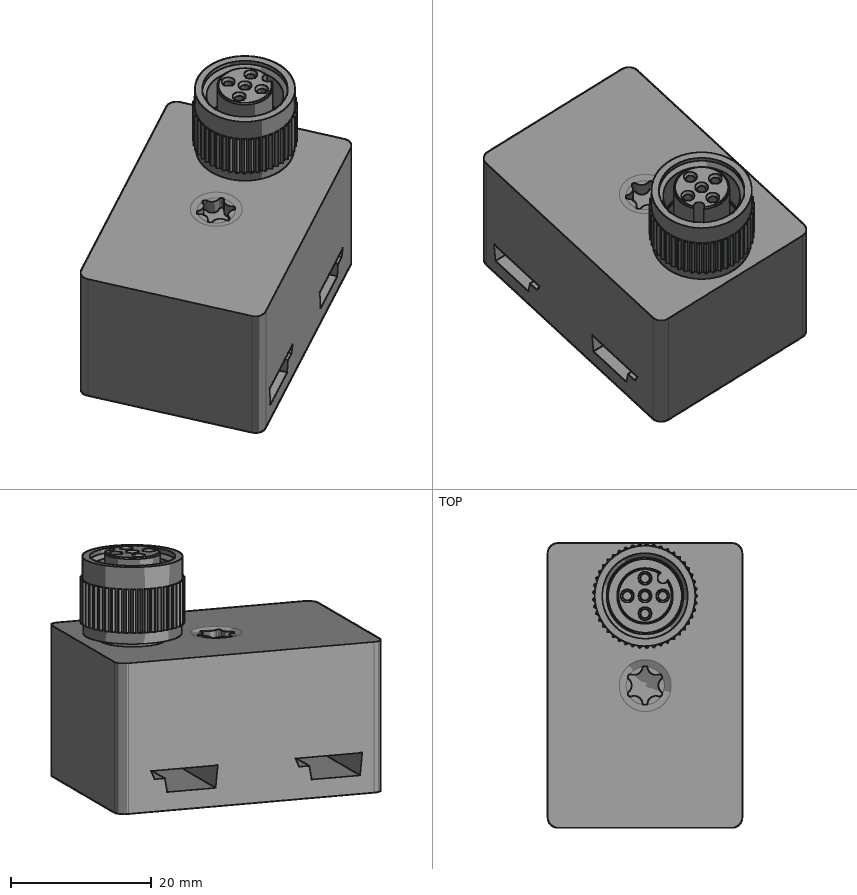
import cadquery as cq
import math

HOUSING_X = 27.7
HOUSING_Y = 40.5
HOUSING_Z = 22.0
CORNER_RADIUS = 1.55

SLOT_PITCH = 22.0
SLOT_BOTTOM_Z = 2.7
SLOT_LEDGE_Z = 4.75
SLOT_TOP_Z = 6.0
SLOT_TOP_Y = (5.05, 15.23)
SLOT_BOTTOM_Y = (5.4, 12.75)
SLOT_LEDGE_Y = (13.12, 14.65)

COUNTERSINK_RADIUS = 3.7
COUNTERSINK_FLOOR_RADIUS = 2.7
COUNTERSINK_DEPTH = 0.25
STAR_LOBES = 6
STAR_TIP_RADIUS = 2.75
STAR_FLUTE_RADIUS = 1.2
STAR_FLUTE_CENTER = 3.1
STAR_TIP_ROUNDING = 0.3
STAR_WALL_DEPTH = 2.05
STAR_APEX_DEPTH = 3.0

CONNECTOR_Y = 12.7
CONNECTOR_TOP_Z = 34.8
STEM_RADIUS = 4.7
NUT_BOTTOM_Z = 22.92
KNURL_BOTTOM_Z = 24.6
KNURL_TOP_Z = 30.95
NUT_TOP_Z = 34.15
NUT_LOWER_RADIUS = 7.0
NUT_UPPER_RADIUS = 7.13

KNURL_TEETH = 45
KNURL_TIP_RADIUS = 7.45
KNURL_ROOT_RADIUS = NUT_UPPER_RADIUS
KNURL_TOOTH_SHARE = 0.7

MOUTH_RADIUS = 6.08
MOUTH_DEPTH = 0.65
BORE_RADIUS = 5.45
CONE_DEPTH = MOUTH_RADIUS - BORE_RADIUS
BORE_STEP_RADIUS = 5.22
BORE_STEP_Z = 27.55
BORE_FLOOR_Z = KNURL_BOTTOM_Z

INSERT_RADIUS = 3.95
INSERT_CHAMFER = 0.2
CONTACT_CIRCLE_RADIUS = 2.5
CONTACT_MOUTH_RADIUS = 0.95
CONTACT_HOLE_RADIUS = 0.65
CONTACT_CONE_DEPTH = 0.5
KEYWAY_RADIUS = 0.75
KEYWAY_CENTER = 3.6
KEYWAY_ANGLE = 45.0


def polar(radius, degrees):
    """Point at a distance and angle from the local origin."""
    angle = math.radians(degrees)
    return (radius * math.cos(angle), radius * math.sin(angle))


def cylinder(radius, bottom_z, top_z):
    """Upright cylinder on the Z axis."""
    return cq.Workplane("XY", origin=(0, 0, bottom_z)).circle(radius).extrude(top_z - bottom_z)


def revolved(profile):
    """Solid turned about the Z axis from a list of (radius, z) points."""
    return cq.Workplane("XZ").polyline(profile).close().revolve(360, (0, 0, 0), (0, 1, 0))


def make_slot():
    """Stepped slot, cut through the whole width of the housing."""
    profile = [
        (SLOT_TOP_Y[0], SLOT_TOP_Z),
        (SLOT_BOTTOM_Y[0], SLOT_BOTTOM_Z),
        (SLOT_BOTTOM_Y[1], SLOT_BOTTOM_Z),
        (SLOT_LEDGE_Y[0], SLOT_LEDGE_Z),
        (SLOT_LEDGE_Y[1], SLOT_LEDGE_Z),
        (SLOT_TOP_Y[1], SLOT_TOP_Z),
    ]
    return cq.Workplane("YZ").polyline(profile).close().extrude(HOUSING_X / 2, both=True)


def make_screw_recess():
    """Countersink with a six-lobed star socket that ends in a shallow cone."""
    countersink = revolved([
        (0, HOUSING_Z),
        (COUNTERSINK_RADIUS, HOUSING_Z),
        (COUNTERSINK_FLOOR_RADIUS, HOUSING_Z - COUNTERSINK_DEPTH),
        (0, HOUSING_Z - COUNTERSINK_DEPTH),
    ])
    star = revolved([
        (0, HOUSING_Z),
        (STAR_TIP_RADIUS, HOUSING_Z),
        (STAR_TIP_RADIUS, HOUSING_Z - STAR_WALL_DEPTH),
        (0, HOUSING_Z - STAR_APEX_DEPTH),
    ])
    for lobe in range(STAR_LOBES):
        x, y = polar(STAR_FLUTE_CENTER, lobe * 360 / STAR_LOBES)
        flute = cylinder(STAR_FLUTE_RADIUS, HOUSING_Z - STAR_APEX_DEPTH, HOUSING_Z)
        star = star.cut(flute.translate((x, y, 0)))
    star = star.edges("|Z").fillet(STAR_TIP_ROUNDING)
    return countersink.union(star)


def make_housing():
    """Block with rounded upright edges, two through slots and the screw recess."""
    block = cq.Workplane("XY").box(HOUSING_X, HOUSING_Y, HOUSING_Z, centered=(True, True, False))
    block = block.edges("|Z").fillet(CORNER_RADIUS)
    for shift in (0, -SLOT_PITCH):
        block = block.cut(make_slot().translate((0, shift, 0)))
    return block.cut(make_screw_recess())


def make_knurl():
    """Ring of pointed teeth with round stretches of root between them."""
    pitch = 360 / KNURL_TEETH
    half_tooth = pitch * KNURL_TOOTH_SHARE / 2
    outline = cq.Workplane("XY", origin=(0, 0, KNURL_BOTTOM_Z))
    outline = outline.moveTo(*polar(KNURL_ROOT_RADIUS, -half_tooth))
    for tooth in range(KNURL_TEETH):
        angle = tooth * pitch
        outline = outline.lineTo(*polar(KNURL_TIP_RADIUS, angle))
        outline = outline.lineTo(*polar(KNURL_ROOT_RADIUS, angle + half_tooth))
        outline = outline.threePointArc(
            polar(KNURL_ROOT_RADIUS, angle + pitch / 2),
            polar(KNURL_ROOT_RADIUS, angle + pitch - half_tooth),
        )
    return outline.close().extrude(KNURL_TOP_Z - KNURL_BOTTOM_Z)


def make_bore():
    """Stepped opening of the nut, from the floor up to the rim."""
    return revolved([
        (0, NUT_TOP_Z),
        (MOUTH_RADIUS, NUT_TOP_Z),
        (MOUTH_RADIUS, NUT_TOP_Z - MOUTH_DEPTH),
        (BORE_RADIUS, NUT_TOP_Z - MOUTH_DEPTH - CONE_DEPTH),
        (BORE_RADIUS, BORE_STEP_Z),
        (BORE_STEP_RADIUS, BORE_STEP_Z),
        (BORE_STEP_RADIUS, BORE_FLOOR_Z),
        (0, BORE_FLOOR_Z),
    ])


def make_contact_hole():
    """Round hole with a tapered mouth, on the Z axis."""
    return revolved([
        (0, CONNECTOR_TOP_Z),
        (CONTACT_MOUTH_RADIUS, CONNECTOR_TOP_Z),
        (CONTACT_HOLE_RADIUS, CONNECTOR_TOP_Z - CONTACT_CONE_DEPTH),
        (CONTACT_HOLE_RADIUS, BORE_FLOOR_Z),
        (0, BORE_FLOOR_Z),
    ])


def make_insert():
    """Contact carrier with one central and four surrounding holes and a keyway."""
    insert = cylinder(INSERT_RADIUS, BORE_FLOOR_Z, CONNECTOR_TOP_Z)
    insert = insert.faces(">Z").chamfer(INSERT_CHAMFER)
    around = [polar(CONTACT_CIRCLE_RADIUS, quarter * 90) for quarter in range(4)]
    for x, y in [(0, 0)] + around:
        insert = insert.cut(make_contact_hole().translate((x, y, 0)))
    keyway = cylinder(KEYWAY_RADIUS, BORE_FLOOR_Z, CONNECTOR_TOP_Z)
    key_x, key_y = polar(KEYWAY_CENTER, KEYWAY_ANGLE)
    return insert.cut(keyway.translate((key_x, key_y, 0)))


def make_connector():
    """Knurled connector whose stem stands on the top face of the housing."""
    stem = cylinder(STEM_RADIUS, HOUSING_Z, NUT_BOTTOM_Z)
    lower = cylinder(NUT_LOWER_RADIUS, NUT_BOTTOM_Z, KNURL_BOTTOM_Z)
    upper = cylinder(NUT_UPPER_RADIUS, KNURL_TOP_Z, NUT_TOP_Z)
    shell = stem.union(lower).union(make_knurl()).union(upper).cut(make_bore())
    connector = shell.union(make_insert())
    return connector.translate((0, CONNECTOR_Y, 0))


housing = make_housing()
connector = make_connector()
result = cq.Compound.makeCompound([housing.solids().val(), connector.solids().val()])